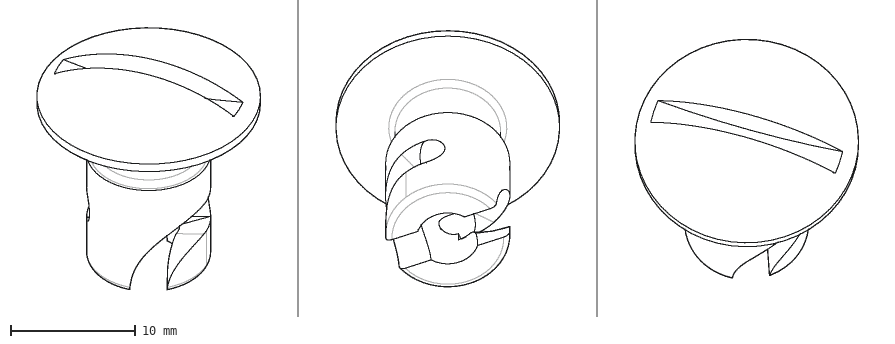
import cadquery as cq
import math

total_height = 19.24
head_radius = 9.0
head_underside = 15.5
dome_radius = 15.0
driver_slot_width = 2.0
driver_slot_half_length = 7.81
driver_cutter_radius = 38.48

neck_radius = 4.25
body_radius = 5.0
body_height = 10.5
edge_round = 0.5
bore_radius = 2.5

cam_width = 3.0
cam_level = 5.5
cam_end_angle = 202.0
cam_turn = 91.0
cam_count = 2
cam_dip = 1.92
cam_dip_peak = 30.0
bend_steps = 8

clearance = 1.0
bore_depth = cam_level + cam_width / 2 + clearance

dome_center = total_height - math.sqrt(dome_radius**2 - (driver_slot_width / 2) ** 2)
dome_apex = dome_center + dome_radius
rim_top = dome_center + math.sqrt(dome_radius**2 - head_radius**2)

driver_slot_end = dome_center + math.sqrt(dome_radius**2 - driver_slot_half_length**2)
driver_cutter_rise = driver_cutter_radius - math.sqrt(driver_cutter_radius**2 - driver_slot_half_length**2)
driver_slot_floor = driver_slot_end - driver_cutter_rise

inner_reach = 1.75
outer_reach = body_radius + clearance
bend_start = math.radians(cam_end_angle - cam_turn) + cam_level / body_radius


def make_blank():
    """Revolved head, neck and body, rounded at both ends of the neck and at the bottom."""
    mid_angle = math.asin(head_radius / dome_radius) / 2
    dome_mid = (dome_radius * math.sin(mid_angle), dome_center + dome_radius * math.cos(mid_angle))
    blank = (
        cq.Workplane("XZ")
        .lineTo(body_radius, 0)
        .lineTo(body_radius, body_height)
        .lineTo(neck_radius, body_height)
        .lineTo(neck_radius, head_underside)
        .lineTo(head_radius, head_underside)
        .lineTo(head_radius, rim_top)
        .threePointArc(dome_mid, (0, dome_apex))
        .close()
        .revolve(360, (0, 0, 0), (0, 1, 0))
    )
    neck_ends = cq.selectors.RadiusNthSelector(0)
    blank = blank.edges("%CIRCLE").edges(neck_ends).fillet(edge_round)
    return blank.faces("<Z").edges().fillet(edge_round)


def make_driver_slot():
    """Slot along X across the dome, with a hollow floor left by a large disc cutter."""
    return (
        cq.Workplane("XZ", origin=(0, 0, driver_slot_floor + driver_cutter_radius))
        .circle(driver_cutter_radius)
        .extrude(driver_slot_width / 2, both=True)
    )


def make_bore():
    """Blind bore from the bottom face to just above the cam slots."""
    return cq.Workplane("XY").circle(bore_radius).extrude(bore_depth)


def dip_at(turn):
    """Drop of the cam slot's center line from the body surface to the axis."""
    return cam_dip * math.cos(turn - math.radians(cam_dip_peak))


def bend_section(turn):
    """Cross-section of the cam slot, at an angle round its bend.

    On the unrolled body the slot's center line is a quarter circle of radius cam_level,
    so its height is cam_level * cos(turn) and the section tips from upright to level.
    """
    angle = bend_start - cam_level * math.sin(turn) / body_radius
    dip = dip_at(turn)
    on_axis = cq.Vector(0, 0, cam_level * math.cos(turn) - dip)
    outward = cq.Vector(math.cos(angle), math.sin(angle), dip / body_radius)
    forward = cq.Vector(math.sin(angle), -math.cos(angle), 0)
    half_width = (forward * math.sin(turn) + cq.Vector(0, 0, math.cos(turn))) * (cam_width / 2)
    inner = on_axis + outward * inner_reach
    outer = on_axis + outward * outer_reach
    corners = [inner - half_width, outer - half_width, outer + half_width, inner + half_width]
    return cq.Wire.makePolygon(corners, close=True)


def make_cam_slot_parts():
    """Cutting solids of one cam slot: its round end, level stretch and bend."""
    round_end = (
        cq.Workplane("YZ", origin=(0, 0, cam_level))
        .circle(cam_width / 2)
        .extrude(outer_reach)
        .rotate((0, 0, 0), (0, 0, 1), cam_end_angle)
    )

    dip = dip_at(0)
    inner_height = cam_level - dip
    outer_height = inner_height + dip * outer_reach / body_radius
    level_angle = cam_end_angle - math.degrees(bend_start)
    level = (
        cq.Workplane("XZ")
        .moveTo(0, inner_height - cam_width / 2)
        .lineTo(outer_reach, outer_height - cam_width / 2)
        .lineTo(outer_reach, outer_height + cam_width / 2)
        .lineTo(0, inner_height + cam_width / 2)
        .close()
        .revolve(level_angle, (0, 0), (0, -1))
        .rotate((0, 0, 0), (0, 0, 1), cam_end_angle)
    )

    sections = [bend_section(math.pi / 2 * step / bend_steps) for step in range(bend_steps + 1)]
    bend = cq.Workplane(cq.Solid.makeLoft(sections))
    return [round_end, level, bend]


result = make_blank().cut(make_driver_slot()).cut(make_bore())
cam_slot_parts = make_cam_slot_parts()
for index in range(cam_count):
    for part in cam_slot_parts:
        result = result.cut(part.rotate((0, 0, 0), (0, 0, 1), index * 360 / cam_count))

result = cq.Workplane(result.solids().val())